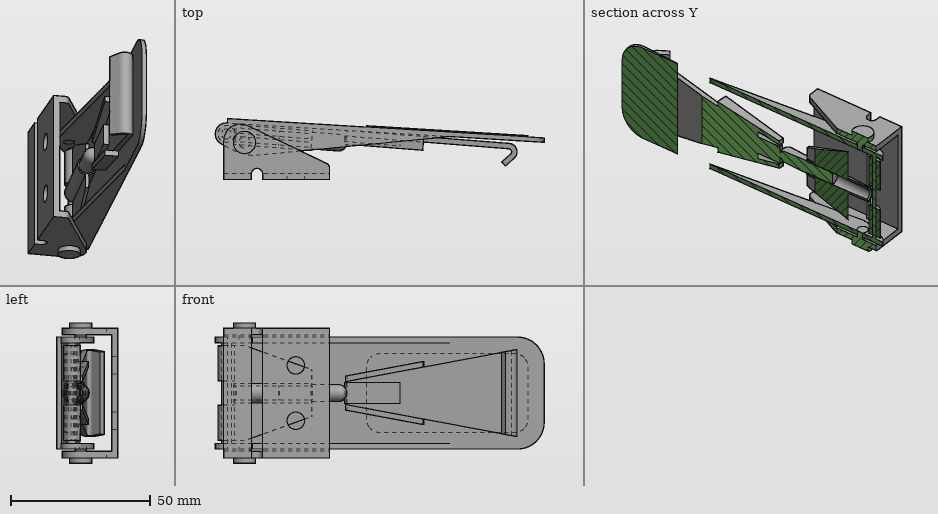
import cadquery as cq
import math


BRACKET_LEFT = 3.1
BRACKET_RIGHT = 41.2
BRACKET_HALF_HEIGHT = 23.35
BASE_THICKNESS = 2.2
CHEEK_THICKNESS = 2.5
CHEEK_ROUND_RADIUS = 6.0
CHEEK_ROUND_Y = 14.0
CHEEK_SLOPE = math.radians(25.5)
CHEEK_CORNER_RADIUS = 2.0
SLOT_X = 15.0
SLOT_WIDTH = 4.0
SLOT_DEPTH = 4.0
SCREW_HOLE_DIAMETER = 6.3
SCREW_HOLE_X = 29.0
SCREW_HOLE_Z = 9.9

RIVET_X = 10.5
RIVET_Y = 13.4
RIVET_HEAD_DIAMETER = 8.0
RIVET_HEAD_HEIGHT = 1.9
RIVET_SHANK_DIAMETER = 4.0

LENGTH = 118.2
LEVER_TOP_Y = 22.0
LEVER_TILT = math.radians(3.5)
LEVER_PLATE_LEFT = 4.4
LEVER_PLATE_THICKNESS = 1.7
LEVER_HALF_HEIGHT = 20.16
EAR_THICKNESS = 2.1
EAR_RADIUS = 4.0
EAR_KNEE = (8.0, 9.8)
EAR_LOWEST = (13.4, 8.6)
EAR_END_X = 84.2
GRIP_CORNER_RADIUS = 9.7
PAD_LEFT = 54.4
PAD_RIGHT = 112.3
PAD_HALF_HEIGHT = 14.2
PAD_CORNER_RADIUS = 4.7
PAD_THICKNESS = 0.5

PIN_X = EAR_RADIUS
PIN_Y = 16.4
PIN_DIAMETER = 3.5

LINK_TILT_DEGREES = 4.5
KNUCKLE_DIAMETER = 6.0
KNUCKLE_INNER_Z = 4.4
KNUCKLE_OUTER_Z = 17.0
SHEET_V = -0.6
SHEET_THICKNESS = 1.2
SHEET_TAPER_U = 6.7
SHEET_TAPER = 0.357
SLEEVE_START_U = 2.8
LINK_END_U = 30.7
SLEEVE_DIAMETER = 7.1
BORE_DIAMETER = 5.0
BORE_MOUTH_DIAMETER = 6.0

ROD_DIAMETER = 6.0
ROD_START_U = 18.9
ROD_ROUND_U = 40.5
TONGUE_START_U = 42.6
TONGUE_END_U = 62.4
TONGUE_HALF_HEIGHT = 3.8
HOOK_THICKNESS = 2.0
HOOK_PLATE_V = 2.6
HOOK_START_U = 43.0
HOOK_START_HALF_HEIGHT = 4.1
HOOK_END_HALF_HEIGHT = 15.6
HOOK_TAPER_END_U = 104.4
FLANGE_END_U = 70.8
FLANGE_DEPTH = 3.0
CURL_U = 101.6
CURL_INNER_RADIUS = 1.1
CURL_TURN = math.radians(134)
CURL_LEG_LENGTH = 4.3


def bar(x, y, diameter, z_low, z_high):
    """Round bar parallel to Z."""
    return cq.Workplane("XY", origin=(x, y, z_low)).circle(diameter / 2).extrude(z_high - z_low)


def rod_along_u(diameter, start, end):
    """Round bar along the U axis."""
    return cq.Workplane("YZ", origin=(start, 0, 0)).circle(diameter / 2).extrude(end - start)


def both_sides(body):
    """The body together with its mirror image below Z = 0."""
    return body.union(body.mirror("XY"))


def set_on_pin(body):
    """Move a body from the U, V axes to its place on the cross pin."""
    return body.rotate((0, 0, 0), (0, 0, 1), -LINK_TILT_DEGREES).translate((PIN_X, PIN_Y, 0))


def make_bracket():
    round_x = BRACKET_LEFT + CHEEK_ROUND_RADIUS
    tangent_x = round_x + CHEEK_ROUND_RADIUS * math.sin(CHEEK_SLOPE)
    tangent_y = CHEEK_ROUND_Y + CHEEK_ROUND_RADIUS * math.cos(CHEEK_SLOPE)
    middle_angle = (math.pi + math.pi / 2 - CHEEK_SLOPE) / 2
    middle = (
        round_x + CHEEK_ROUND_RADIUS * math.cos(middle_angle),
        CHEEK_ROUND_Y + CHEEK_ROUND_RADIUS * math.sin(middle_angle),
    )
    right_y = tangent_y - (BRACKET_RIGHT - tangent_x) * math.tan(CHEEK_SLOPE)
    bracket = (
        cq.Workplane("XY", origin=(0, 0, -BRACKET_HALF_HEIGHT))
        .moveTo(BRACKET_LEFT, 0)
        .lineTo(BRACKET_LEFT, CHEEK_ROUND_Y)
        .threePointArc(middle, (tangent_x, tangent_y))
        .lineTo(BRACKET_RIGHT, right_y)
        .lineTo(BRACKET_RIGHT, 0)
        .close()
        .extrude(2 * BRACKET_HALF_HEIGHT)
        .edges(cq.selectors.NearestToPointSelector((BRACKET_RIGHT, right_y, 0)))
        .fillet(CHEEK_CORNER_RADIUS)
    )
    inside = cq.Workplane("XY").box(
        LENGTH, LENGTH, 2 * (BRACKET_HALF_HEIGHT - CHEEK_THICKNESS), centered=(True, False, True)
    )
    bracket = bracket.cut(inside.translate((0, BASE_THICKNESS, 0)))
    slot_round_y = SLOT_DEPTH - SLOT_WIDTH / 2
    slot = cq.Workplane("XY").box(SLOT_WIDTH, 2 * slot_round_y, LENGTH).translate((SLOT_X, 0, 0))
    slot = slot.union(bar(SLOT_X, slot_round_y, SLOT_WIDTH, -LENGTH / 2, LENGTH / 2))
    screw_holes = (
        cq.Workplane("XZ")
        .pushPoints([(SCREW_HOLE_X, SCREW_HOLE_Z), (SCREW_HOLE_X, -SCREW_HOLE_Z)])
        .circle(SCREW_HOLE_DIAMETER / 2)
        .extrude(-BASE_THICKNESS)
    )
    head_top = BRACKET_HALF_HEIGHT + RIVET_HEAD_HEIGHT
    rivet = bar(RIVET_X, RIVET_Y, RIVET_HEAD_DIAMETER, BRACKET_HALF_HEIGHT, head_top).union(
        bar(RIVET_X, RIVET_Y, RIVET_SHANK_DIAMETER, LEVER_HALF_HEIGHT - EAR_THICKNESS, BRACKET_HALF_HEIGHT)
    )
    return bracket.cut(slot).cut(screw_holes).union(both_sides(rivet))


def lever_top_y(x):
    """Y of the sloping outer face of the lever."""
    return LEVER_TOP_Y - (x - LEVER_PLATE_LEFT) * math.tan(LEVER_TILT)


def lever_under_y(x):
    """Y of the sloping inner face of the lever plate."""
    return lever_top_y(x) - LEVER_PLATE_THICKNESS / math.cos(LEVER_TILT)


def sloping_layer(left, right, lower_y, upper_y, half_height):
    """Layer parallel to the lever plate."""
    return (
        cq.Workplane("XY", origin=(0, 0, -half_height))
        .polyline([(left, lower_y(left)), (left, upper_y(left)), (right, upper_y(right)), (right, lower_y(right))])
        .close()
        .extrude(2 * half_height)
    )


def make_lever():
    plate = sloping_layer(LEVER_PLATE_LEFT, LENGTH, lever_under_y, lever_top_y, LEVER_HALF_HEIGHT)
    plate = plate.edges("|Y").edges(">X").fillet(GRIP_CORNER_RADIUS)
    pad = sloping_layer(
        PAD_LEFT, PAD_RIGHT, lever_under_y, lambda x: lever_top_y(x) + PAD_THICKNESS, PAD_HALF_HEIGHT
    )
    pad = pad.edges("|Y").fillet(PAD_CORNER_RADIUS)

    knee_distance = math.hypot(EAR_KNEE[0] - PIN_X, EAR_KNEE[1] - PIN_Y)
    knee_angle = math.atan2(EAR_KNEE[1] - PIN_Y, EAR_KNEE[0] - PIN_X)
    tangent_angle = knee_angle - math.acos(EAR_RADIUS / knee_distance)
    tangent = (PIN_X + EAR_RADIUS * math.cos(tangent_angle), PIN_Y + EAR_RADIUS * math.sin(tangent_angle))
    ear_inner_z = LEVER_HALF_HEIGHT - EAR_THICKNESS
    ear = (
        cq.Workplane("XY", origin=(0, 0, ear_inner_z))
        .moveTo(PIN_X, PIN_Y + EAR_RADIUS)
        .threePointArc((PIN_X - EAR_RADIUS, PIN_Y), tangent)
        .lineTo(*EAR_KNEE)
        .lineTo(*EAR_LOWEST)
        .lineTo(EAR_END_X, lever_under_y(EAR_END_X))
        .lineTo(EAR_END_X, lever_top_y(EAR_END_X))
        .lineTo(LEVER_PLATE_LEFT, LEVER_TOP_Y)
        .lineTo(LEVER_PLATE_LEFT, PIN_Y + EAR_RADIUS)
        .close()
        .extrude(EAR_THICKNESS)
        .cut(bar(RIVET_X, RIVET_Y, RIVET_SHANK_DIAMETER, ear_inner_z, LEVER_HALF_HEIGHT))
    )
    pin = bar(PIN_X, PIN_Y, PIN_DIAMETER, -ear_inner_z, ear_inner_z)
    return plate.union(pad).union(both_sides(ear)).union(pin)


def make_link():
    end_half_height = KNUCKLE_OUTER_Z - (LINK_END_U - SHEET_TAPER_U) * SHEET_TAPER
    sheet = (
        cq.Workplane("XZ", origin=(0, SHEET_V, 0))
        .moveTo(0, -KNUCKLE_OUTER_Z)
        .lineTo(SHEET_TAPER_U, -KNUCKLE_OUTER_Z)
        .lineTo(LINK_END_U, -end_half_height)
        .lineTo(LINK_END_U, end_half_height)
        .lineTo(SHEET_TAPER_U, KNUCKLE_OUTER_Z)
        .lineTo(0, KNUCKLE_OUTER_Z)
        .close()
        .extrude(-SHEET_THICKNESS)
    )
    notch = cq.Workplane("XY").box(2 * SLEEVE_START_U, KNUCKLE_DIAMETER, 2 * KNUCKLE_INNER_Z)
    knuckle = bar(0, 0, KNUCKLE_DIAMETER, KNUCKLE_INNER_Z, KNUCKLE_OUTER_Z)
    pin_hole = bar(0, 0, PIN_DIAMETER, -KNUCKLE_OUTER_Z, KNUCKLE_OUTER_Z)
    sleeve = rod_along_u(SLEEVE_DIAMETER, SLEEVE_START_U, LINK_END_U)
    bore = rod_along_u(BORE_DIAMETER, SLEEVE_START_U, LINK_END_U)
    mouth_depth = (BORE_MOUTH_DIAMETER - BORE_DIAMETER) / 2
    mouth = rod_along_u(BORE_MOUTH_DIAMETER, SLEEVE_START_U, SLEEVE_START_U + mouth_depth)
    mouth = mouth.faces(">X").chamfer(mouth_depth * 0.999)
    link = sheet.cut(notch).union(both_sides(knuckle)).union(sleeve)
    return set_on_pin(link.cut(pin_hole).cut(bore).cut(mouth))


def make_hook():
    plate_top_v = HOOK_PLATE_V + HOOK_THICKNESS
    curl_v = HOOK_PLATE_V - CURL_INNER_RADIUS
    curl_outer_radius = CURL_INNER_RADIUS + HOOK_THICKNESS

    def on_curl(radius, turn, leg=0.0):
        return (
            CURL_U + radius * math.sin(turn) + leg * math.cos(turn),
            curl_v + radius * math.cos(turn) - leg * math.sin(turn),
        )

    strip = (
        cq.Workplane("XY", origin=(0, 0, -HOOK_END_HALF_HEIGHT))
        .moveTo(HOOK_START_U, HOOK_PLATE_V)
        .lineTo(HOOK_START_U, plate_top_v)
        .lineTo(CURL_U, plate_top_v)
        .threePointArc(on_curl(curl_outer_radius, CURL_TURN / 2), on_curl(curl_outer_radius, CURL_TURN))
        .lineTo(*on_curl(curl_outer_radius, CURL_TURN, CURL_LEG_LENGTH))
        .lineTo(*on_curl(CURL_INNER_RADIUS, CURL_TURN, CURL_LEG_LENGTH))
        .lineTo(*on_curl(CURL_INNER_RADIUS, CURL_TURN))
        .threePointArc(on_curl(CURL_INNER_RADIUS, CURL_TURN / 2), (CURL_U, HOOK_PLATE_V))
        .close()
        .extrude(2 * HOOK_END_HALF_HEIGHT)
    )
    outline = (
        cq.Workplane("XZ", origin=(0, plate_top_v, 0))
        .moveTo(HOOK_START_U, -HOOK_START_HALF_HEIGHT)
        .lineTo(HOOK_TAPER_END_U, -HOOK_END_HALF_HEIGHT)
        .lineTo(LENGTH, -HOOK_END_HALF_HEIGHT)
        .lineTo(LENGTH, HOOK_END_HALF_HEIGHT)
        .lineTo(HOOK_TAPER_END_U, HOOK_END_HALF_HEIGHT)
        .lineTo(HOOK_START_U, HOOK_START_HALF_HEIGHT)
        .close()
        .extrude(LENGTH)
    )

    taper = (HOOK_END_HALF_HEIGHT - HOOK_START_HALF_HEIGHT) / (HOOK_TAPER_END_U - HOOK_START_U)
    flange_end_z = HOOK_START_HALF_HEIGHT + taper * (FLANGE_END_U - HOOK_START_U)
    flange = (
        cq.Workplane("XZ", origin=(0, plate_top_v, 0))
        .moveTo(HOOK_START_U, HOOK_START_HALF_HEIGHT)
        .lineTo(FLANGE_END_U, flange_end_z)
        .lineTo(FLANGE_END_U, flange_end_z + HOOK_THICKNESS)
        .lineTo(HOOK_START_U, HOOK_START_HALF_HEIGHT + HOOK_THICKNESS)
        .close()
        .extrude(HOOK_THICKNESS + FLANGE_DEPTH)
    )

    tongue = cq.Workplane("XY").box(
        TONGUE_END_U - TONGUE_START_U, HOOK_THICKNESS, 2 * TONGUE_HALF_HEIGHT, centered=(False, False, True)
    )
    tongue = tongue.translate((TONGUE_START_U, HOOK_PLATE_V - HOOK_THICKNESS, 0))
    shank = rod_along_u(BORE_DIAMETER, ROD_START_U, LINK_END_U)
    rod = rod_along_u(ROD_DIAMETER, LINK_END_U, ROD_ROUND_U)
    tip = cq.Workplane("XY").sphere(ROD_DIAMETER / 2).translate((ROD_ROUND_U, 0, 0))
    hook = strip.intersect(outline).union(both_sides(flange)).union(tongue)
    return set_on_pin(hook.union(rod).union(tip).union(shank))


bracket = make_bracket()
lever = make_lever()
link = make_link()
hook = make_hook()
result = cq.Compound.makeCompound([bracket.val(), lever.val(), link.val(), hook.val()])